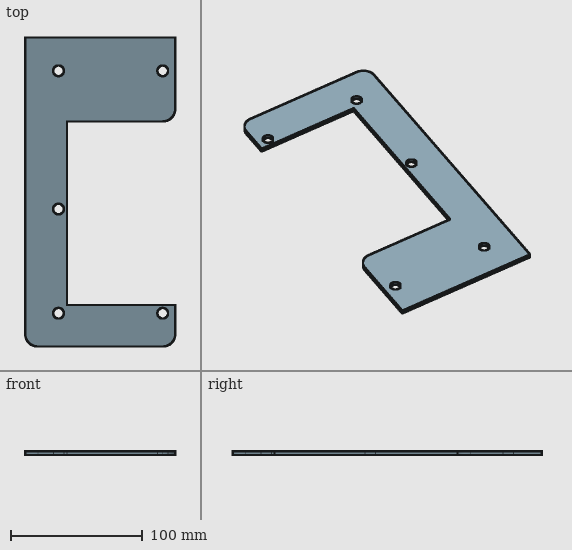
import cadquery as cq

width = 114.2
length = 235.0
thickness = 3.0
corner_radius = 9.6

spine_width = 32.0
lower_arm_depth = 31.7
upper_arm_depth = 64.0

hole_diameter = 8.0
hole_inset = 25.4
right_hole_inset = 9.6
middle_hole_height = 104.5

window_width = width - spine_width
window_length = length - lower_arm_depth - upper_arm_depth
plate = cq.Workplane("XY").box(width, length, thickness, centered=False)
window = (
    cq.Workplane("XY")
    .box(window_width, window_length, thickness, centered=False)
    .translate((spine_width, lower_arm_depth, 0))
)
plate = plate.cut(window)


def round_corner(body, x, y):
    """Round the vertical edge nearest to the corner (x, y)."""
    corner = cq.selectors.NearestToPointSelector((x, y, thickness / 2))
    return body.edges("|Z").edges(corner).fillet(corner_radius)


rounded_corners = [
    (0, 0),
    (width, 0),
    (width, length - upper_arm_depth),
]
for corner_x, corner_y in rounded_corners:
    plate = round_corner(plate, corner_x, corner_y)

left_x = hole_inset
right_x = width - right_hole_inset
lower_y = hole_inset
upper_y = length - hole_inset
hole_centers = [
    (left_x, lower_y),
    (right_x, lower_y),
    (left_x, middle_hole_height),
    (left_x, upper_y),
    (right_x, upper_y),
]
holes = (
    cq.Workplane("XY")
    .pushPoints(hole_centers)
    .circle(hole_diameter / 2)
    .extrude(thickness)
)

result = plate.cut(holes)